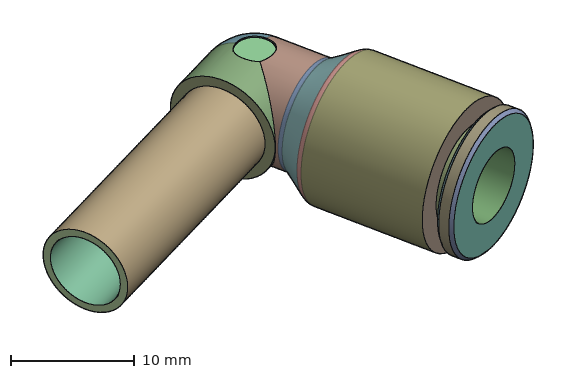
import cadquery as cq

elbow_radius = 4.95
elbow_face_y = -5.0

stem_radius = 4.0
stem_end_y = -26.4

bore_radius = 3.3

body_radius = 6.75
cone_start_x = 5.45
cone_end_x = 8.2
cone_blend_radius = 0.85
body_end_x = 19.9

neck_radius = 4.6
collar_radius = 6.5
collar_start_x = 21.0
collar_end_x = 22.55
collar_chamfer = 0.3

seat_radius = 1.75
seat_floor_z = 4.5


def rod_x(radius, start_x, end_x):
    """Cylinder around the X axis."""
    return cq.Workplane("YZ", origin=(start_x, 0, 0)).circle(radius).extrude(end_x - start_x)


def rod_minus_y(radius, end_y):
    """Cylinder around the Y axis, from the origin towards -Y."""
    return cq.Workplane("XZ").circle(radius).extrude(-end_y)


def socket_body():
    """X leg of the elbow with the cone and the large cylinder, corners of the cone rounded."""
    profile = (
        cq.Workplane("XY")
        .lineTo(0, elbow_radius)
        .lineTo(cone_start_x, elbow_radius)
        .lineTo(cone_end_x, body_radius)
        .lineTo(body_end_x, body_radius)
        .lineTo(body_end_x, 0)
        .close()
    )
    body = profile.revolve(360, (0, 0, 0), (1, 0, 0))
    cone = body.faces("%CONE")
    return body.newObject(cone.edges("%CIRCLE").vals()).fillet(cone_blend_radius)


def release_collar():
    """Narrow neck and chamfered collar at the open end."""
    neck = rod_x(neck_radius, body_end_x, collar_start_x)
    collar = rod_x(collar_radius, collar_start_x, collar_end_x).edges("%CIRCLE").chamfer(collar_chamfer)
    return neck.union(collar)


def stem():
    """Y leg of the elbow with the stem tube."""
    return rod_minus_y(elbow_radius, elbow_face_y).union(rod_minus_y(stem_radius, stem_end_y))


def passage():
    """Bore from the stem end round the ball corner and out through the collar."""
    corner = cq.Workplane("XY").sphere(bore_radius)
    stem_bore = rod_minus_y(bore_radius, stem_end_y)
    socket_bore = rod_x(bore_radius, 0, collar_end_x)
    return corner.union(stem_bore).union(socket_bore)


def marking_seat():
    """Flat-bottomed round recess in the top of the elbow."""
    seat_depth = elbow_radius - seat_floor_z
    return cq.Workplane("XY", origin=(0, 0, seat_floor_z)).circle(seat_radius).extrude(seat_depth)


outside = cq.Workplane("XY").sphere(elbow_radius).union(stem()).union(socket_body()).union(release_collar())
result = outside.cut(passage()).cut(marking_seat())